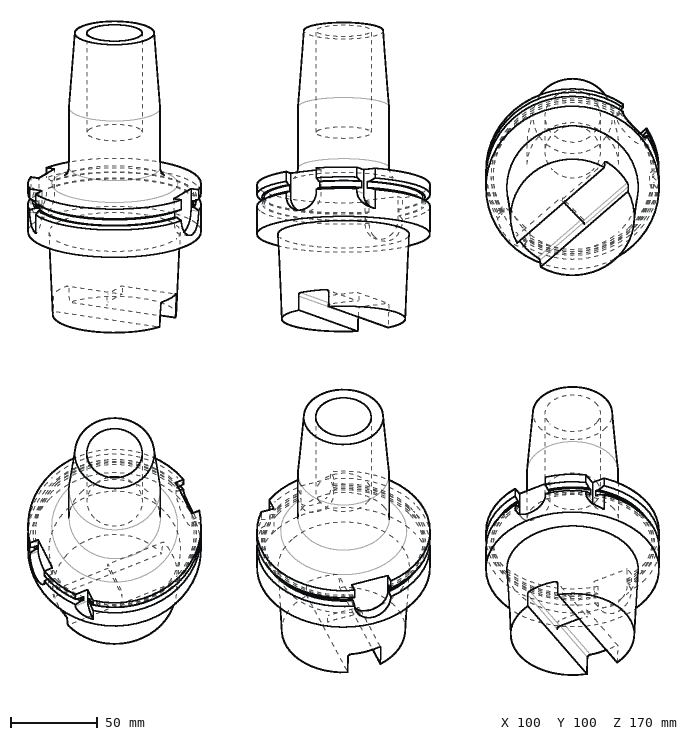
import cadquery as cq

total_length = 170.0

shank_length = 50.0
shank_top_radius = 37.9
shank_end_radius = 35.7

flange_radius = 50.0
flange_height = 29.0
lip_height = 5.8
groove_mouth_width = 6.8
groove_depth = 4.0
groove_bevel_width = 2.9
groove_bevel_height = 1.5

neck_radius = 26.4
neck_fillet = 10.0
nose_length = 44.9
nose_tip_radius = 23.0
bore_diameter = 32.0
bore_depth = 60.0

keyway_depth = 24.0
keyway_width = 20.0
wide_keyway_width = 22.1
keyway_floor = 43.9
corner_notch_offset = 31.3

drive_slot_width = 20.0
drive_slot_height = 10.0
tall_drive_slot_height = 15.0
drive_slot_corner = 1.7

nose_top = total_length - shank_length
nose_base = nose_top - nose_length
groove_top = flange_height - lip_height
groove_bottom = groove_top - groove_mouth_width
groove_radius = flange_radius - groove_depth
bevel_radius = flange_radius - groove_bevel_width


def revolved_body():
    fillet_mid = neck_fillet * (1 - 0.5 ** 0.5)
    profile = (
        cq.Workplane("XZ")
        .moveTo(0, -shank_length)
        .lineTo(shank_end_radius, -shank_length)
        .lineTo(shank_top_radius, 0)
        .lineTo(flange_radius, 0)
        .lineTo(flange_radius, groove_bottom)
        .lineTo(bevel_radius, groove_bottom + groove_bevel_height)
        .lineTo(groove_radius, groove_bottom + groove_bevel_height)
        .lineTo(groove_radius, groove_top - groove_bevel_height)
        .lineTo(bevel_radius, groove_top - groove_bevel_height)
        .lineTo(flange_radius, groove_top)
        .lineTo(flange_radius, flange_height)
        .lineTo(neck_radius + neck_fillet, flange_height)
        .threePointArc(
            (neck_radius + fillet_mid, flange_height + fillet_mid),
            (neck_radius, flange_height + neck_fillet),
        )
        .lineTo(neck_radius, nose_base)
        .lineTo(nose_tip_radius, nose_top)
        .lineTo(0, nose_top)
        .close()
    )
    return profile.revolve(360, (0, 0, 0), (0, 1, 0))


def tool_bore():
    return (
        cq.Workplane("XY", origin=(0, 0, nose_top - bore_depth))
        .circle(bore_diameter / 2)
        .extrude(bore_depth)
    )


def keyway(side, width, center_y, floor):
    """Round-bottomed cutter running outward from x = side * floor; side is -1 or 1."""
    radius = width / 2
    arc_center_z = flange_height - keyway_depth + radius
    return (
        cq.Workplane("YZ", origin=(side * floor, center_y, 0))
        .moveTo(-radius, flange_height)
        .lineTo(-radius, arc_center_z)
        .threePointArc((0, arc_center_z - radius), (radius, arc_center_z))
        .lineTo(radius, flange_height)
        .close()
        .extrude(side * flange_radius)
    )


def drive_slot(side, height):
    """Slot from the axis out through one side of the shank end; side is -1 or 1."""
    return (
        cq.Workplane("XY", origin=(side * shank_top_radius / 2, 0, -shank_length))
        .box(shank_top_radius, drive_slot_width, height, centered=(True, True, False))
        .edges("|X and >Z")
        .fillet(drive_slot_corner)
    )


result = (
    revolved_body()
    .cut(tool_bore())
    .cut(keyway(-1, keyway_width, 0, keyway_floor))
    .cut(keyway(1, wide_keyway_width, 0, keyway_floor))
    .cut(keyway(-1, keyway_width, -corner_notch_offset - keyway_width / 2, corner_notch_offset))
    .cut(drive_slot(-1, drive_slot_height))
    .cut(drive_slot(1, tall_drive_slot_height))
)